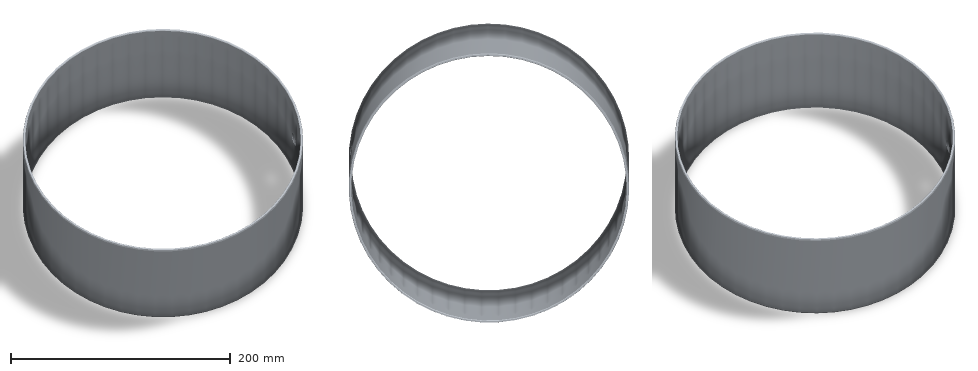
import cadquery as cq

outer_diameter = 255.0
height = 100.0
wall = 2.3

bevel_depth = 0.45
outer_bevel_length = 1.5
inner_bevel_length = 0.5

hole_diameter = 12.0
hole_height = height / 2

outer_radius = outer_diameter / 2
inner_radius = outer_radius - wall


def make_band():
    """Revolve the wall section, bevelled at both rims, about the Z axis."""
    section = [
        (inner_radius + bevel_depth, 0),
        (outer_radius - bevel_depth, 0),
        (outer_radius, outer_bevel_length),
        (outer_radius, height - outer_bevel_length),
        (outer_radius - bevel_depth, height),
        (inner_radius + bevel_depth, height),
        (inner_radius, height - inner_bevel_length),
        (inner_radius, inner_bevel_length),
    ]
    return cq.Workplane("XZ").polyline(section).close().revolve(360, (0, 0), (0, 1))


def make_hole_cutter():
    """Cylinder running from the axis out through the +Y wall."""
    return (
        cq.Workplane("XZ")
        .center(0, hole_height)
        .circle(hole_diameter / 2)
        .extrude(-outer_diameter)
    )


result = make_band().cut(make_hole_cutter())